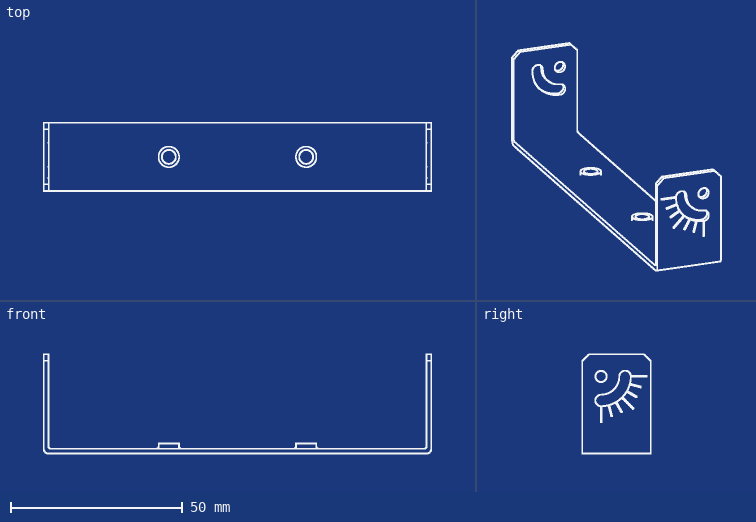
import cadquery as cq
import math

LENGTH = 113.0
WIDTH = 20.0
HEIGHT = 29.0
THICKNESS = 1.5
OUTER_BEND_RADIUS = 1.5
INNER_BEND_RADIUS = 0.5
CORNER_CHAMFER = 2.0

COLLAR_SPACING = 40.0
COLLAR_DIAMETER = 6.0
COLLAR_HEIGHT = 1.5
COLLAR_BASE_FILLET = 0.5
COLLAR_BORE = 4.0

PIVOT_Y = -4.5
PIVOT_Z = 22.5
PIVOT_DIAMETER = 3.2
SLOT_RADIUS = 7.0
SLOT_WIDTH = 3.3

TICK_STEP = 15
TICK_SPAN = 90
MAJOR_TICK_STEP = 45
MAJOR_TICK_RADIUS = 13.3
MINOR_TICK_RADIUS = 12.0
TICK_WIDTH = 0.3
TICK_DEPTH = 0.1

HALF_LENGTH = LENGTH / 2


def channel():
    """U-shaped strip with rounded bends and chamfered upper corners."""
    block = cq.Workplane("XY").box(LENGTH, WIDTH, HEIGHT, centered=(True, True, False))
    block = block.edges("|Y and <Z").fillet(OUTER_BEND_RADIUS)
    block = block.edges("|X and >Z").chamfer(CORNER_CHAMFER)
    cavity = (
        cq.Workplane("XY", origin=(0, 0, THICKNESS))
        .box(LENGTH - 2 * THICKNESS, WIDTH, HEIGHT, centered=(True, True, False))
        .edges("|Y and <Z")
        .fillet(INNER_BEND_RADIUS)
    )
    return block.cut(cavity)


def collar_profile():
    """Half section of a collar, from its axis outward, with a concave fillet at the foot."""
    radius = COLLAR_DIAMETER / 2
    foot_radius = radius + COLLAR_BASE_FILLET
    top = THICKNESS + COLLAR_HEIGHT
    fillet_top = THICKNESS + COLLAR_BASE_FILLET
    arc_inset = COLLAR_BASE_FILLET * math.sqrt(0.5)
    return (
        cq.Workplane("XZ")
        .lineTo(foot_radius, 0)
        .lineTo(foot_radius, THICKNESS)
        .threePointArc((foot_radius - arc_inset, fillet_top - arc_inset), (radius, fillet_top))
        .lineTo(radius, top)
        .lineTo(0, top)
        .close()
    )


def add_collars(body):
    """Raise two bored collars on the floor."""
    for x in (-COLLAR_SPACING / 2, COLLAR_SPACING / 2):
        collar = collar_profile().revolve(360, (0, 0), (0, 1)).translate((x, 0, 0))
        bore = cq.Workplane("XY").center(x, 0).circle(COLLAR_BORE / 2).extrude(HEIGHT)
        body = body.union(collar).cut(bore)
    return body


def polar(radius, angle):
    """Offset from the pivot as (Y, Z); angle runs from +Y down towards -Z, in degrees."""
    return radius * math.cos(math.radians(angle)), -radius * math.sin(math.radians(angle))


def pivot_plane(x):
    """Plane facing +X, with local axes Y and Z centred on the pivot."""
    return cq.Workplane("YZ", origin=(x, PIVOT_Y, PIVOT_Z))


def upright_cutter():
    """Pivot hole and quarter-circle slot, running through both uprights."""
    inner = SLOT_RADIUS - SLOT_WIDTH / 2
    outer = SLOT_RADIUS + SLOT_WIDTH / 2
    middle = TICK_SPAN / 2
    start = pivot_plane(-HALF_LENGTH)
    slot = (
        start.moveTo(*polar(outer, 0))
        .threePointArc(polar(outer, middle), polar(outer, TICK_SPAN))
        .lineTo(*polar(inner, TICK_SPAN))
        .threePointArc(polar(inner, middle), polar(inner, 0))
        .close()
        .extrude(LENGTH)
    )
    slot_ends = (
        start.pushPoints([polar(SLOT_RADIUS, 0), polar(SLOT_RADIUS, TICK_SPAN)])
        .circle(SLOT_WIDTH / 2)
        .extrude(LENGTH)
    )
    pivot_hole = start.circle(PIVOT_DIAMETER / 2).extrude(LENGTH)
    return slot.union(slot_ends).union(pivot_hole)


def engrave_scale(body):
    """Cut radial tick grooves, reaching outward from the slot, into both outer faces."""
    for angle in range(0, TICK_SPAN + 1, TICK_STEP):
        is_major = angle % MAJOR_TICK_STEP == 0
        end_radius = MAJOR_TICK_RADIUS if is_major else MINOR_TICK_RADIUS
        tick_length = end_radius - SLOT_RADIUS
        middle = polar(SLOT_RADIUS + tick_length / 2, angle)
        for face_x in (-HALF_LENGTH, HALF_LENGTH):
            groove = (
                pivot_plane(face_x)
                .center(*middle)
                .transformed(rotate=(0, 0, -angle))
                .rect(tick_length, TICK_WIDTH)
                .extrude(TICK_DEPTH, both=True)
            )
            body = body.cut(groove)
    return body


result = engrave_scale(add_collars(channel()).cut(upright_cutter()))